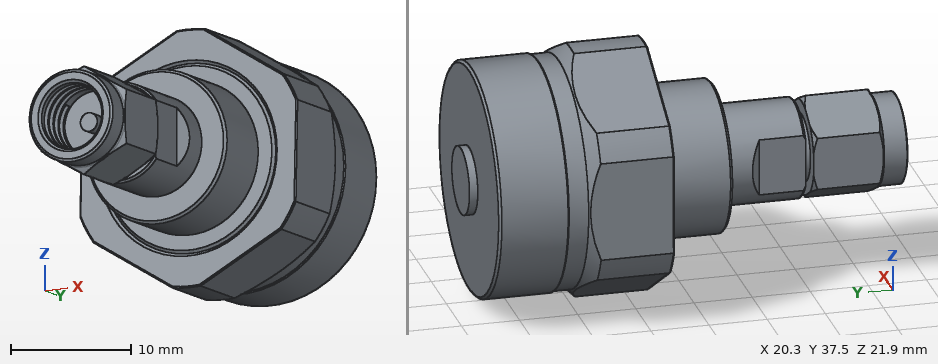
import cadquery as cq
import math

TOTAL_LENGTH = 37.5

SLEEVE_RADIUS = 3.9
SLEEVE_CHAMFER_LENGTH = 0.1
SLEEVE_FACE_RADIUS = 3.68
FLARE_RADIUS = 4.0
FLARE_START = 2.05
SMALL_HEX_START = 2.18
SMALL_HEX_END = 8.18
SMALL_HEX_FLATS = 7.95
FRONT_CONE_LENGTH = 0.3
REAR_CONE_RADIUS = 4.1
REAR_CONE_LENGTH = 0.35

NECK_RADIUS = 2.92
BARREL_RADIUS = 4.28
BARREL_START = 8.75
BARREL_CHAMFER = 0.2
FLAT_OFFSET = 3.5
FLAT_END = 12.7

BODY_RADIUS = 6.52
BODY_START = 15.75
BODY_CHAMFER = 0.22

NUT_START = 21.7
NUT_END = 29.05
NUT_RADIUS = 10.95
NUT_FLATS = 20.15
NUT_TURN = 1.1
NUT_EDGE_CHAMFER = 0.1
JOINT_OUTER_RADIUS = 8.3
JOINT_INNER_RADIUS = 7.8

RING_NECK_RADIUS = 9.95
RING_RADIUS = 10.05
RING_START = 30.75
RING_END = 36.8
RING_FRONT_CHAMFER = 0.1
RING_REAR_CHAMFER = 0.22
TIP_RADIUS = 2.92

BORE_RADIUS = 2.8
BORE_DEPTH = 4.5
BORE_CHAMFER = 0.22
THREAD_DEPTH = 0.38
THREAD_PITCH = 0.95
THREAD_START = 0.55
THREAD_LENGTH = 3.38
THREAD_GROOVE_WIDTH = 0.82
PIN_RADIUS = 0.8
PIN_LENGTH = 1.12


def revolve_profile(points):
    """Turn a closed (radius, y) outline about the Y axis."""
    return cq.Workplane("XY").polyline(points).close().revolve(360, (0, 0, 0), (0, 1, 0))


def cylinder(radius, start, end):
    """Solid cylinder along Y between two stations."""
    return revolve_profile([(0, start), (radius, start), (radius, end), (0, end)])


def hexagon(across_flats, start, end, turn=0.0):
    """Hexagonal bar along Y with two flats facing +X and -X before it is turned."""
    corner_diameter = across_flats / math.cos(math.radians(30))
    return (
        cq.Workplane("XZ", origin=(0, start, 0))
        .polygon(6, corner_diameter)
        .extrude(start - end)
        .rotate((0, 0, 0), (0, 1, 0), 30 + turn)
    )


def make_small_connector():
    sleeve = revolve_profile([
        (0, 0),
        (SLEEVE_FACE_RADIUS, 0),
        (SLEEVE_RADIUS, SLEEVE_CHAMFER_LENGTH),
        (SLEEVE_RADIUS, FLARE_START),
        (FLARE_RADIUS, SMALL_HEX_START),
        (0, SMALL_HEX_START),
    ])
    corner_radius = SMALL_HEX_FLATS / 2 / math.cos(math.radians(30))
    cone_envelope = revolve_profile([
        (0, SMALL_HEX_START),
        (FLARE_RADIUS, SMALL_HEX_START),
        (corner_radius, SMALL_HEX_START + FRONT_CONE_LENGTH),
        (corner_radius, SMALL_HEX_END - REAR_CONE_LENGTH),
        (REAR_CONE_RADIUS, SMALL_HEX_END),
        (0, SMALL_HEX_END),
    ])
    small_hex = hexagon(SMALL_HEX_FLATS, SMALL_HEX_START, SMALL_HEX_END).intersect(cone_envelope)
    return small_hex.union(sleeve)


def make_barrel():
    """Round barrel with two side flats that run out in 45 degree ramps."""
    barrel = cylinder(BARREL_RADIUS, BARREL_START, BODY_START).faces("<Y").chamfer(BARREL_CHAMFER)
    depth = BARREL_RADIUS - FLAT_OFFSET
    flat_cut = (
        cq.Workplane("XY", origin=(0, 0, -BARREL_RADIUS))
        .moveTo(FLAT_OFFSET, BARREL_START)
        .lineTo(FLAT_OFFSET, FLAT_END)
        .lineTo(BARREL_RADIUS, FLAT_END + depth)
        .lineTo(BARREL_RADIUS, BARREL_START)
        .close()
        .extrude(2 * BARREL_RADIUS)
    )
    return barrel.cut(flat_cut).cut(flat_cut.mirror("YZ"))


def make_nut():
    """Large hexagon with rounded corners, a rear cone and a V groove at its front joint."""
    cone_length = NUT_RADIUS - RING_NECK_RADIUS
    envelope = revolve_profile([
        (0, NUT_START),
        (NUT_RADIUS, NUT_START),
        (NUT_RADIUS, NUT_END - cone_length),
        (RING_NECK_RADIUS, NUT_END),
        (0, NUT_END),
    ])
    nut = hexagon(NUT_FLATS, NUT_START, NUT_END, NUT_TURN).intersect(envelope)
    nut = nut.faces("<Y").chamfer(NUT_EDGE_CHAMFER)
    groove_depth = (JOINT_OUTER_RADIUS - JOINT_INNER_RADIUS) / 2
    joint_groove = revolve_profile([
        (JOINT_INNER_RADIUS, NUT_START),
        (JOINT_OUTER_RADIUS, NUT_START),
        (JOINT_OUTER_RADIUS - groove_depth, NUT_START + groove_depth),
    ])
    return nut.cut(joint_groove)


def make_coupling_ring():
    ring = (
        cylinder(RING_RADIUS, RING_START, RING_END)
        .faces("<Y").chamfer(RING_FRONT_CHAMFER)
        .faces(">Y").chamfer(RING_REAR_CHAMFER)
    )
    return ring.union(cylinder(RING_NECK_RADIUS, NUT_END, RING_START))


def make_thread_groove():
    """Helical V groove in the wall of the bore, starting on the +X side."""
    overlap = 0.08
    helix = cq.Wire.makeHelix(
        THREAD_PITCH, THREAD_LENGTH, BORE_RADIUS, cq.Vector(0, THREAD_START, 0), cq.Vector(0, 1, 0)
    )
    start = helix.startPoint()
    section = cq.Workplane(
        cq.Plane(origin=(0, start.y, 0), xDir=(start.x, 0, start.z), normal=(start.z, 0, -start.x))
    )
    half_width = THREAD_GROOVE_WIDTH / 2
    return (
        section.polyline([
            (BORE_RADIUS - overlap, -half_width),
            (BORE_RADIUS + THREAD_DEPTH, 0),
            (BORE_RADIUS - overlap, half_width),
        ])
        .close()
        .sweep(cq.Workplane(helix), isFrenet=True)
        .rotate((0, 0, 0), (0, 1, 0), 90)
    )


def make_bore():
    bore = revolve_profile([
        (0, 0),
        (BORE_RADIUS + BORE_CHAMFER, 0),
        (BORE_RADIUS, BORE_CHAMFER),
        (BORE_RADIUS, BORE_DEPTH),
        (0, BORE_DEPTH),
    ])
    pin = cylinder(PIN_RADIUS, BORE_DEPTH - PIN_LENGTH, BORE_DEPTH)
    return bore.cut(pin)


neck = cylinder(NECK_RADIUS, SMALL_HEX_END, BARREL_START)
body = cylinder(BODY_RADIUS, BODY_START, NUT_START).faces("<Y").chamfer(BODY_CHAMFER)
tip = cylinder(TIP_RADIUS, RING_END, TOTAL_LENGTH)

small_connector = make_small_connector().cut(make_bore()).cut(make_thread_groove())
result = small_connector
for section in (neck, make_barrel(), body, make_nut(), make_coupling_ring(), tip):
    result = result.union(section)